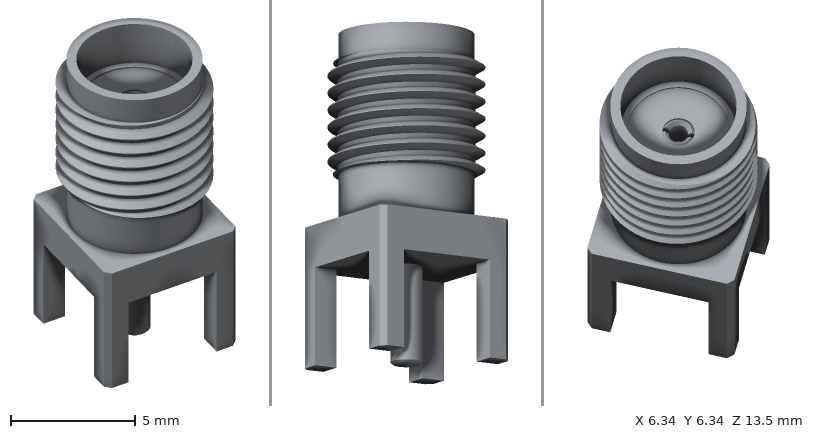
import cadquery as cq
import math

total_height = 13.5
block_width = 6.1
corner_chamfer = 0.24
block_top = 5.76
leg_height = 4.01
leg_width = 1.01

body_radius = 2.74
bore_radius = 2.34
bore_depth = 1.95
floor_z = total_height - bore_depth

disc_radius = 2.07
disc_recess = 0.07
disc_z = floor_z - disc_recess

pin_radius = 0.65
pin_bevel_width = 0.11
pin_bevel_height = 0.1
socket_mouth_radius = pin_radius - pin_bevel_width
socket_radius = 0.39
socket_depth = 1.35
slot_width = 0.19
slot_depth = socket_depth

thread_bottom = 7.75
thread_top = 12.37
pitch = 0.7
crest_radius = 3.17
root_radius = 2.78
root_overlap = 0.04
flank_angle = 60.0
crest_flat = 0.04
crest_height_at_plus_x = 7.67


def cylinder(radius, bottom, top):
    return cq.Workplane("XY").workplane(offset=bottom).circle(radius).extrude(top - bottom)


def make_base():
    block = cq.Workplane("XY").rect(block_width, block_width).extrude(block_top)
    block = block.edges("|Z").chamfer(corner_chamfer)
    opening = block_width - 2 * leg_width
    along_x = cq.Workplane("XY").box(block_width, opening, leg_height, centered=(True, True, False))
    along_y = cq.Workplane("XY").box(opening, block_width, leg_height, centered=(True, True, False))
    return block.cut(along_x).cut(along_y)


def make_thread():
    """Helical ridge, run past both ends and trimmed flat to the thread length."""
    inner_radius = root_radius - root_overlap
    half_crest = crest_flat / 2
    half_base = half_crest + (crest_radius - inner_radius) * math.tan(math.radians(flank_angle / 2))
    turns = math.ceil((thread_top - thread_bottom) / pitch) + 2
    start_z = crest_height_at_plus_x - pitch
    helix = cq.Wire.makeHelix(pitch, turns * pitch, inner_radius, center=cq.Vector(0, 0, start_z))
    profile = (
        cq.Workplane("XZ")
        .moveTo(inner_radius, start_z - half_base)
        .lineTo(crest_radius, start_z - half_crest)
        .lineTo(crest_radius, start_z + half_crest)
        .lineTo(inner_radius, start_z + half_base)
        .close()
    )
    ridge = profile.sweep(cq.Workplane(obj=helix), isFrenet=True)
    ridge = ridge.intersect(cylinder(crest_radius + pitch, thread_bottom, thread_top))
    return cylinder(root_radius, thread_bottom, thread_top).union(ridge)


def make_pin_tail():
    """Bevelled solder tail reaching from the leg tips up into the block."""
    return (
        cq.Workplane("XZ")
        .lineTo(pin_radius - pin_bevel_width, 0)
        .lineTo(pin_radius, pin_bevel_height)
        .lineTo(pin_radius, block_top)
        .lineTo(0, block_top)
        .close()
        .revolve(360, (0, 0), (0, 1))
    )


def make_socket_cut():
    """Bevel groove, countersunk socket and cross slot in the top end of the pin."""
    bevel_z = disc_z - pin_bevel_height
    groove = (
        cq.Workplane("XZ")
        .moveTo(pin_radius, disc_z)
        .lineTo(socket_mouth_radius, disc_z)
        .lineTo(pin_radius, bevel_z)
        .close()
        .revolve(360, (0, 0), (0, 1))
    )
    countersink_z = disc_z - (socket_mouth_radius - socket_radius)
    socket = (
        cq.Workplane("XZ")
        .moveTo(0, disc_z)
        .lineTo(socket_mouth_radius, disc_z)
        .lineTo(socket_radius, countersink_z)
        .lineTo(socket_radius, disc_z - socket_depth)
        .lineTo(0, disc_z - socket_depth)
        .close()
        .revolve(360, (0, 0), (0, 1))
    )
    slot = cq.Workplane("XY").workplane(offset=disc_z - slot_depth).rect(slot_width, 2 * pin_radius)
    slot = slot.extrude(slot_depth).intersect(cylinder(pin_radius, disc_z - slot_depth, disc_z))
    return groove.union(socket).union(slot)


body = make_base().union(cylinder(body_radius, leg_height, total_height)).union(make_thread())
body = body.cut(cylinder(bore_radius, floor_z, total_height))
body = body.cut(cylinder(disc_radius, disc_z, floor_z))
result = body.union(make_pin_tail()).cut(make_socket_cut())